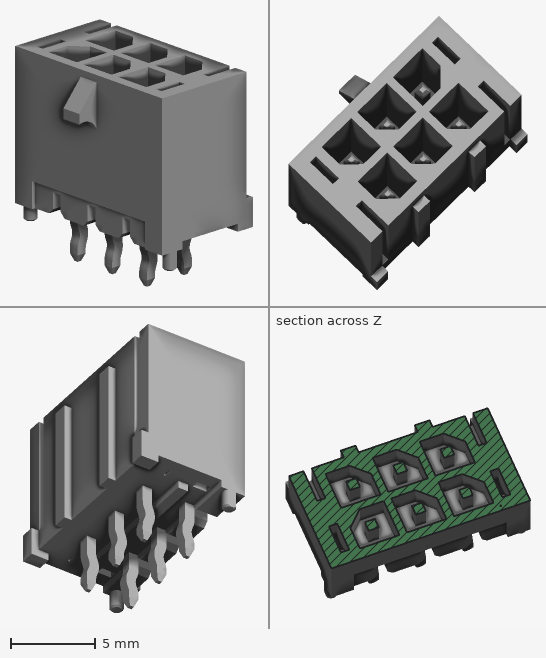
import cadquery as cq


HOUSING_LENGTH = 12.7
HOUSING_WIDTH = 6.86
HOUSING_HEIGHT = 9.88
HALF_LENGTH = HOUSING_LENGTH / 2
HALF_WIDTH = HOUSING_WIDTH / 2

PITCH = 3.0
COLUMN_X = (-PITCH, 0, PITCH)
ROW_Y = PITCH / 2

CAVITY_SIZE = 2.49
CAVITY_KEY = 0.98
CAVITY_FLOOR = 2.0

STANDOFF = 0.5
FRONT_BAND_WIDTH = 1.68
REAR_FOOT_WIDTH = 0.71
SPACER_WIDTH = 0.68

RECESS_LENGTH = 9.77
RECESS_HEIGHT = 1.75
RECESS_DEPTH = 0.24
CHANNEL_HEIGHT = 1.4
CHANNEL_CHAMFER = 0.34

REAR_PROJECTION = 0.5
RIB_WIDTH = 0.97
RIB_TOP = HOUSING_HEIGHT - 1.15
RIB_X = 2.36
FOOT_LENGTH = 0.93
FOOT_TOP = 1.9

SLOT_X = 5.14
SLOT_WIDTH = 0.5
SLOT_FLOOR = FOOT_TOP
REAR_SLOT_LENGTH = 2.2
REAR_THROUGH_LENGTH = 0.15
FRONT_SLOT_LENGTH = 1.9
FRONT_SLOT_OFFSET = 0.85
FRONT_THROUGH_LENGTH = 1.0

LATCH_WIDTH = 1.36
LATCH_PROJECTION = 1.4
LATCH_TOP = HOUSING_HEIGHT - 0.46
LATCH_NOSE_TOP = HOUSING_HEIGHT - 2.11
LATCH_NOSE_BOTTOM = HOUSING_HEIGHT - 2.78
LATCH_ROOT = HOUSING_HEIGHT - 3.4
HOOK_CREST_PROJECTION = 0.98
HOOK_CREST = HOUSING_HEIGHT - 2.71

PEG_DIAMETER = 0.85
PEG_INSET_X = 0.33
PEG_INSET_Y = 0.93
PEG_LENGTH = 1.17
PEG_CHAMFER = 0.12

PIN_WIDTH = 0.67
PIN_BOTTOM = -3.22
PIN_TOP = HOUSING_HEIGHT - 3.01
TIP_WIDTH = 0.28
TIP_LENGTH = 0.5
BOW_START = -0.6
BOW_HEIGHT = 1.81
BEND_HEIGHT = BOW_HEIGHT / 4
BOW_SHIFT = 0.2


def box_between(x_range, y_range, z_range):
    """Box given by its lowest and highest X, Y and Z."""
    corner = (x_range[0], y_range[0], z_range[0])
    sizes = [high - low for low, high in (x_range, y_range, z_range)]
    return cq.Workplane("XY").box(*sizes, centered=False).translate(corner)


def span(center, size):
    """Lowest and highest value of a size centered on a place."""
    return (center - size / 2, center + size / 2)


def block_with_feet():
    """Plain housing block with everything that stands on its bottom and rear faces."""
    block = box_between(
        (-HALF_LENGTH, HALF_LENGTH), (-HALF_WIDTH, HALF_WIDTH), (STANDOFF, HOUSING_HEIGHT)
    )
    front_band = box_between(
        (-HALF_LENGTH, HALF_LENGTH), (-HALF_WIDTH, FRONT_BAND_WIDTH - HALF_WIDTH), (0, STANDOFF)
    )
    spacer = box_between(span(0, RECESS_LENGTH), span(0, SPACER_WIDTH), (0, STANDOFF))
    body = block.union(front_band).union(spacer)

    back = HALF_WIDTH + REAR_PROJECTION
    for side in (-1, 1):
        foot_x = span(side * (HALF_LENGTH - FOOT_LENGTH / 2), FOOT_LENGTH)
        body = body.union(box_between(foot_x, (HALF_WIDTH - REAR_FOOT_WIDTH, back), (0, STANDOFF)))
        body = body.union(box_between(foot_x, (HALF_WIDTH, back), (0, FOOT_TOP)))
        rib_x = span(side * RIB_X, RIB_WIDTH)
        body = body.union(box_between(rib_x, (HALF_WIDTH, back), (STANDOFF, RIB_TOP)))
    return body


def cavity(x, y, key_side):
    """Square pocket whose rear corner on the key side (-1 left, 1 right) is cut."""
    half = CAVITY_SIZE / 2
    key_edge = half - CAVITY_KEY
    outline = [
        (-key_side * half, -half),
        (key_side * half, -half),
        (key_side * half, key_edge),
        (key_side * key_edge, half),
        (-key_side * half, half),
    ]
    pocket = cq.Workplane("XY", origin=(x, y, CAVITY_FLOOR)).polyline(outline).close()
    return pocket.extrude(HOUSING_HEIGHT - CAVITY_FLOOR)


def front_recess():
    """Shallow recess, and a channel with a flared mouth through the front band at each column."""
    wall_y = -HALF_WIDTH + RECESS_DEPTH
    recess = box_between(span(0, RECESS_LENGTH), (-HALF_WIDTH, wall_y), (0, RECESS_HEIGHT))
    mouth = PIN_WIDTH / 2 + CHANNEL_CHAMFER
    half = PIN_WIDTH / 2
    outline = [
        (-mouth, 0),
        (-half, CHANNEL_CHAMFER),
        (-half, CHANNEL_HEIGHT),
        (half, CHANNEL_HEIGHT),
        (half, CHANNEL_CHAMFER),
        (mouth, 0),
    ]
    for x in COLUMN_X:
        channel = cq.Workplane("XZ", origin=(x, -HALF_WIDTH, 0)).polyline(outline).close()
        recess = recess.union(channel.extrude(-FRONT_BAND_WIDTH))
    return recess


def end_slots(side):
    """The rear slot, open to the rear face, and the enclosed front slot at one end."""
    x_range = span(side * SLOT_X, SLOT_WIDTH)
    upper = (SLOT_FLOOR, HOUSING_HEIGHT)
    full = (0, HOUSING_HEIGHT)
    rear_end = HALF_WIDTH - REAR_SLOT_LENGTH
    front_start = -HALF_WIDTH + FRONT_SLOT_OFFSET
    front_end = front_start + FRONT_SLOT_LENGTH
    slots = box_between(x_range, (rear_end, HALF_WIDTH), upper)
    slots = slots.union(box_between(x_range, (rear_end, rear_end + REAR_THROUGH_LENGTH), full))
    slots = slots.union(box_between(x_range, (front_start, front_end), upper))
    return slots.union(box_between(x_range, (front_end - FRONT_THROUGH_LENGTH, front_end), full))


def latch():
    """Ramp with a concave hook underneath, on the front face."""
    nose = -HALF_WIDTH - LATCH_PROJECTION
    profile = (
        cq.Workplane("YZ", origin=(-LATCH_WIDTH / 2, 0, 0))
        .moveTo(-HALF_WIDTH, LATCH_TOP)
        .lineTo(nose, LATCH_NOSE_TOP)
        .lineTo(nose, LATCH_NOSE_BOTTOM)
        .threePointArc((-HALF_WIDTH - HOOK_CREST_PROJECTION, HOOK_CREST), (-HALF_WIDTH, LATCH_ROOT))
        .close()
    )
    return profile.extrude(LATCH_WIDTH)


def peg(side):
    """Round peg with its outer side cut flush with the housing end."""
    center_x = side * (HALF_LENGTH - PEG_INSET_X)
    center_y = PEG_INSET_Y - HALF_WIDTH
    post = cq.Workplane("XY", origin=(center_x, center_y, 0)).circle(PEG_DIAMETER / 2).extrude(-PEG_LENGTH)
    post = post.faces("<Z").chamfer(PEG_CHAMFER)
    within_housing = box_between(
        (-HALF_LENGTH, HALF_LENGTH), (-HALF_WIDTH, HALF_WIDTH), (-PEG_LENGTH, 0)
    )
    return post.intersect(within_housing)


def tip(x, y, base_z, end_z):
    """Square taper from the pin's full width to its blunt point."""
    return (
        cq.Workplane("XY", origin=(x, y, base_z))
        .rect(PIN_WIDTH, PIN_WIDTH)
        .workplane(offset=end_z - base_z)
        .rect(TIP_WIDTH, TIP_WIDTH)
        .loft(ruled=True)
    )


def pin(x, row):
    """Square pin whose tail bows towards the middle of the housing; row is -1 front, 1 rear."""
    y = row * ROW_Y
    top = PIN_TOP - TIP_LENGTH
    bottom = PIN_BOTTOM + TIP_LENGTH
    half_shift = -row * BOW_SHIFT / 2
    path = (
        cq.Workplane("YZ", origin=(x, 0, 0))
        .moveTo(y, top)
        .lineTo(y, BOW_START)
        .tangentArcPoint((half_shift, -BEND_HEIGHT))
        .tangentArcPoint((0, -2 * BEND_HEIGHT))
        .tangentArcPoint((-half_shift, -BEND_HEIGHT))
        .lineTo(y, bottom)
    )
    shaft = cq.Workplane("XY", origin=(x, y, top)).rect(PIN_WIDTH, PIN_WIDTH).sweep(path)
    return shaft.union(tip(x, y, top, PIN_TOP)).union(tip(x, y, bottom, PIN_BOTTOM))


result = block_with_feet().union(latch()).cut(front_recess())

for side in (-1, 1):
    result = result.cut(end_slots(side)).union(peg(side))

for row in (-1, 1):
    for x in COLUMN_X:
        is_front_left = row == -1 and x == COLUMN_X[0]
        key_side = -1 if is_front_left else 1
        result = result.cut(cavity(x, row * ROW_Y, key_side)).union(pin(x, row))